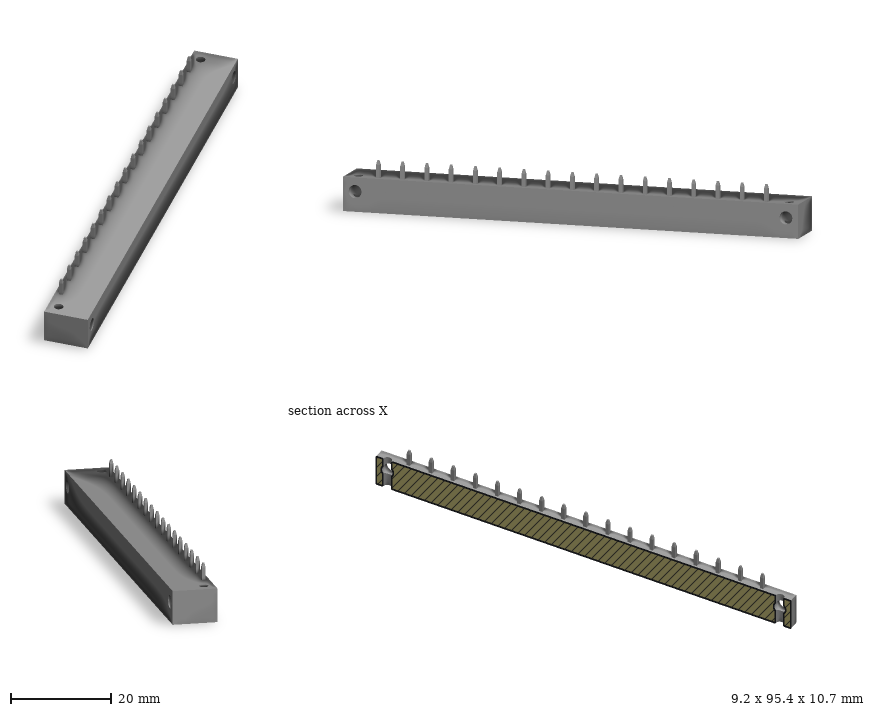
import cadquery as cq

body_width = 9.2
body_length = 95.4
body_height = 7.0

pin_count = 17
pin_row_length = 81.3
pin_pitch = pin_row_length / (pin_count - 1)
pin_edge_distance = 1.2
pin_size = 0.8
pin_height = 3.5
pin_tip_height = 0.9
pin_tip_inset = 0.2

hole_end_distance = 2.6
side_hole_diameter = 2.7
side_hole_depth_below_top = 2.9
vertical_hole_diameter = 1.9
vertical_hole_edge_distance = 2.2

rail_width = 0.4
rail_height = 0.2
rail_length = 86.2
rail_edge_distance = 5.8

left_face_x = -body_width / 2
pin_x = left_face_x + pin_edge_distance
rail_x = left_face_x + rail_edge_distance
vertical_hole_x = left_face_x + vertical_hole_edge_distance
side_hole_z = body_height - side_hole_depth_below_top
hole_y = body_length / 2 - hole_end_distance


def make_body():
    return cq.Workplane("XY").box(body_width, body_length, body_height, centered=(True, True, False))


def make_mounting_holes():
    """Cutters for one vertical and one sideways through hole at each end."""
    vertical = (
        cq.Workplane("XY")
        .pushPoints([(vertical_hole_x, -hole_y), (vertical_hole_x, hole_y)])
        .circle(vertical_hole_diameter / 2)
        .extrude(body_height)
    )
    sideways = (
        cq.Workplane("YZ", origin=(left_face_x, 0, 0))
        .pushPoints([(-hole_y, side_hole_z), (hole_y, side_hole_z)])
        .circle(side_hole_diameter / 2)
        .extrude(body_width)
    )
    return vertical.union(sideways)


def make_pin(y):
    """Square pin with a straight shank and a tip that narrows on all four sides."""
    shank_height = pin_height - pin_tip_height
    tip_end_size = pin_size - 2 * pin_tip_inset
    shank = (
        cq.Workplane("XY", origin=(pin_x, y, body_height))
        .rect(pin_size, pin_size)
        .extrude(shank_height)
    )
    tip = (
        cq.Workplane("XY", origin=(pin_x, y, body_height + shank_height))
        .rect(pin_size, pin_size)
        .workplane(offset=pin_tip_height)
        .rect(tip_end_size, tip_end_size)
        .loft(ruled=True)
    )
    return shank.union(tip)


def make_rail():
    return (
        cq.Workplane("XY", origin=(rail_x, 0, 0))
        .rect(rail_width, rail_length)
        .extrude(-rail_height)
    )


result = make_body().cut(make_mounting_holes()).union(make_rail())
for pin_index in range(pin_count):
    result = result.union(make_pin(pin_index * pin_pitch - pin_row_length / 2))